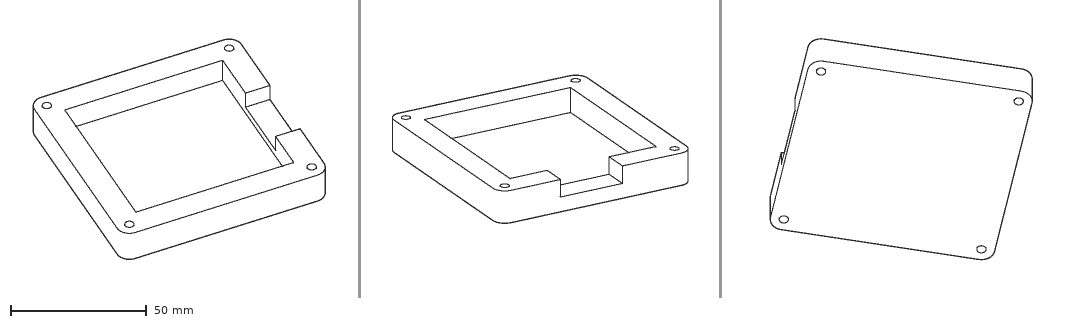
import cadquery as cq

length_x = 81.89
length_y = 84.28
height = 13.0
corner_radius = 5.0

wall = 10.0
pocket_floor = 3.0
pocket_x = length_x - 2 * wall
pocket_y = length_y - 2 * wall

notch_width = 26.2
notch_center_x = 2.05
notch_floor = 6.0

hole_diameter = 3.4
hole_spacing_x = length_x - 2 * corner_radius
hole_spacing_y = length_y - 2 * corner_radius


def make_body():
    """Plate with rounded vertical corners, its bottom on Z = 0."""
    body = cq.Workplane("XY").box(length_x, length_y, height, centered=(True, True, False))
    return body.edges("|Z").fillet(corner_radius)


def make_pocket():
    """Rectangular pocket volume from its floor up to the rim."""
    return (
        cq.Workplane("XY")
        .workplane(offset=pocket_floor)
        .rect(pocket_x, pocket_y)
        .extrude(height - pocket_floor)
    )


def make_notch():
    """Rectangular notch volume joining the pocket to the +Y side."""
    notch_center_y = (length_y - wall) / 2
    return (
        cq.Workplane("XY")
        .workplane(offset=notch_floor)
        .center(notch_center_x, notch_center_y)
        .rect(notch_width, wall)
        .extrude(height - notch_floor)
    )


def make_corner_holes():
    """Four cylinders through the full height."""
    return (
        cq.Workplane("XY")
        .rect(hole_spacing_x, hole_spacing_y, forConstruction=True)
        .vertices()
        .circle(hole_diameter / 2)
        .extrude(height)
    )


result = make_body().cut(make_pocket()).cut(make_notch()).cut(make_corner_holes())